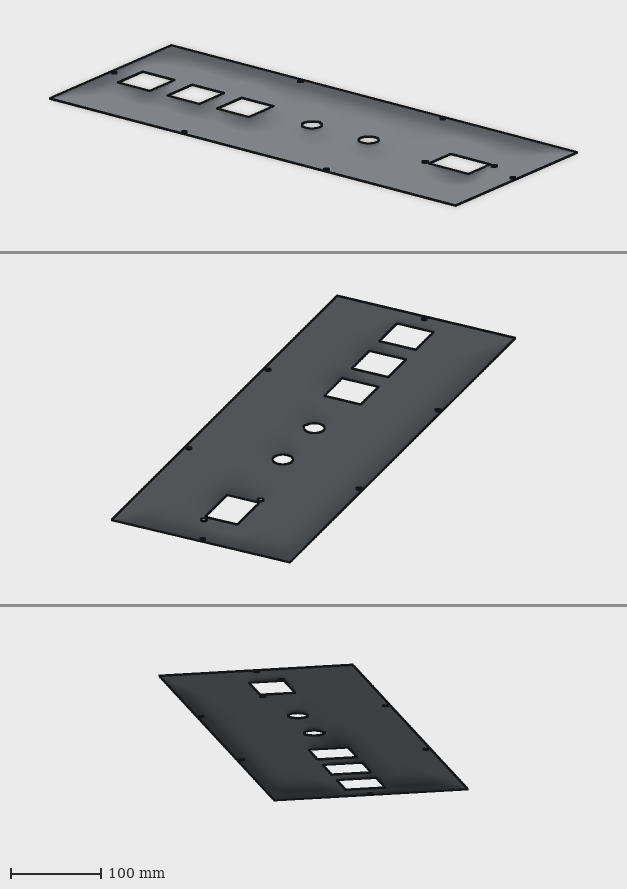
import cadquery as cq

panel_length = 570.0
panel_width = 220.0
panel_thickness = 1.0

mount_hole_diameter = 5.5
mount_edge_inset = 5.0
mount_hole_half_pitch = 100.0

window_size = 45.0
window_pitch = 69.5
first_window_x = -235.0
window_count = 3

operator_hole_diameter = 23.0
lamp_hole_x = -2.0
stop_hole_x = 77.5
key_notch_width = 4.5
key_notch_depth = 1.0

display_x = 205.0
display_length = 56.0
display_width = 40.0
display_screw_diameter = 7.0
display_screw_offset_x = 34.0
display_screw_offset_y = 18.0


def round_cutter(points, diameter):
    """Through cylinders at the given XY points."""
    return cq.Workplane("XY").pushPoints(points).circle(diameter / 2).extrude(panel_thickness)


def rectangular_cutter(points, length, width):
    """Through rectangles centred on the given XY points."""
    return cq.Workplane("XY").pushPoints(points).rect(length, width).extrude(panel_thickness)


def mounting_points():
    """Two holes on each long edge and one on each short edge."""
    end_x = panel_length / 2 - mount_edge_inset
    side_y = panel_width / 2 - mount_edge_inset
    points = [(-end_x, 0), (end_x, 0)]
    for x in (-mount_hole_half_pitch, mount_hole_half_pitch):
        for y in (-side_y, side_y):
            points.append((x, y))
    return points


def keyed_hole_cutter():
    """Round hole with a small anti-rotation notch at its +Y side."""
    notch_reach = operator_hole_diameter / 2 + key_notch_depth
    hole = round_cutter([(lamp_hole_x, 0)], operator_hole_diameter)
    notch = rectangular_cutter([(lamp_hole_x, notch_reach / 2)], key_notch_width, notch_reach)
    return hole.union(notch)


window_points = [(first_window_x + i * window_pitch, 0) for i in range(window_count)]
display_screw_points = [
    (display_x + side * display_screw_offset_x, side * display_screw_offset_y) for side in (-1, 1)
]

result = (
    cq.Workplane("XY")
    .box(panel_length, panel_width, panel_thickness, centered=(True, True, False))
    .cut(round_cutter(mounting_points(), mount_hole_diameter))
    .cut(rectangular_cutter(window_points, window_size, window_size))
    .cut(keyed_hole_cutter())
    .cut(round_cutter([(stop_hole_x, 0)], operator_hole_diameter))
    .cut(rectangular_cutter([(display_x, 0)], display_length, display_width))
    .cut(round_cutter(display_screw_points, display_screw_diameter))
)